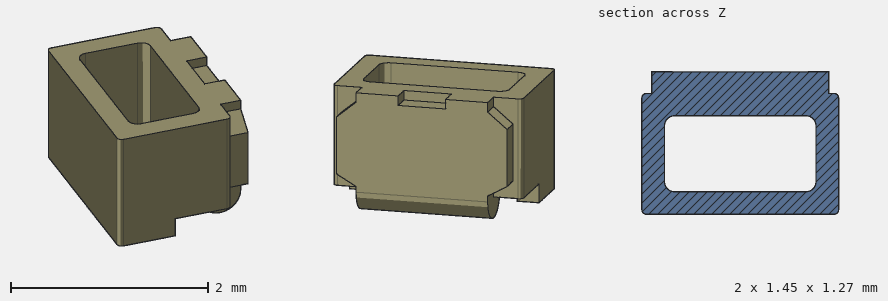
import cadquery as cq

width = 2.0
depth = 1.45
height = 1.27

rib_depth = 0.22
frame_depth = depth - rib_depth
front_height = 1.25
rear_height = 1.05
front_foot_depth = 0.615
frame_bottom = height - front_height
step_bottom = height - rear_height
frame_corner_radius = 0.05

window_width = 1.535
window_depth = 0.768
front_wall = 0.232
window_corner_radius = 0.1

rib_width = 1.8
rib_end_width = 1.39
rib_shoulder_drop = 0.1
rib_side_top_drop = 0.268
rib_side_bottom_drop = 0.868
rib_base_drop = 0.985
notch_width = 0.5
notch_height = 0.1

foot_radius = 0.45 / 2


def make_frame():
    """Rounded box with a through window and a raised rear underside."""
    frame = (
        cq.Workplane("XY", origin=(0, frame_depth / 2, frame_bottom))
        .rect(width, frame_depth)
        .extrude(front_height)
        .edges("|Z")
        .fillet(frame_corner_radius)
    )
    window = (
        cq.Workplane("XY", origin=(0, front_wall + window_depth / 2, frame_bottom))
        .rect(window_width, window_depth)
        .extrude(front_height)
        .edges("|Z")
        .fillet(window_corner_radius)
    )
    rear_step = cq.Workplane("XY").box(
        width, frame_depth - front_foot_depth, step_bottom, centered=(True, False, False)
    ).translate((0, front_foot_depth, 0))
    return frame.cut(window).cut(rear_step)


def make_rib():
    """Back rib with sloped sides, square shoulders and a central top notch."""
    right_side = [
        (notch_width / 2, height - notch_height),
        (notch_width / 2, height),
        (rib_end_width / 2, height),
        (rib_end_width / 2, height - rib_shoulder_drop),
        (rib_width / 2, height - rib_side_top_drop),
        (rib_width / 2, height - rib_side_bottom_drop),
        (rib_end_width / 2, height - rib_base_drop),
    ]
    left_side = [(-x, z) for x, z in reversed(right_side)]
    return (
        cq.Workplane("XZ", origin=(0, depth, 0))
        .polyline(right_side + left_side)
        .close()
        .extrude(rib_depth)
    )


def make_foot():
    """Half-round foot along X, with a neck rising into the back wall to the rib base."""
    front = depth - 2 * foot_radius
    neck_top = height - rib_base_drop
    return (
        cq.Workplane("YZ")
        .moveTo(front, neck_top)
        .lineTo(front, foot_radius)
        .threePointArc((depth - foot_radius, 0), (depth, foot_radius))
        .lineTo(depth, neck_top)
        .close()
        .extrude(rib_end_width / 2, both=True)
    )


result = make_frame().union(make_rib()).union(make_foot())